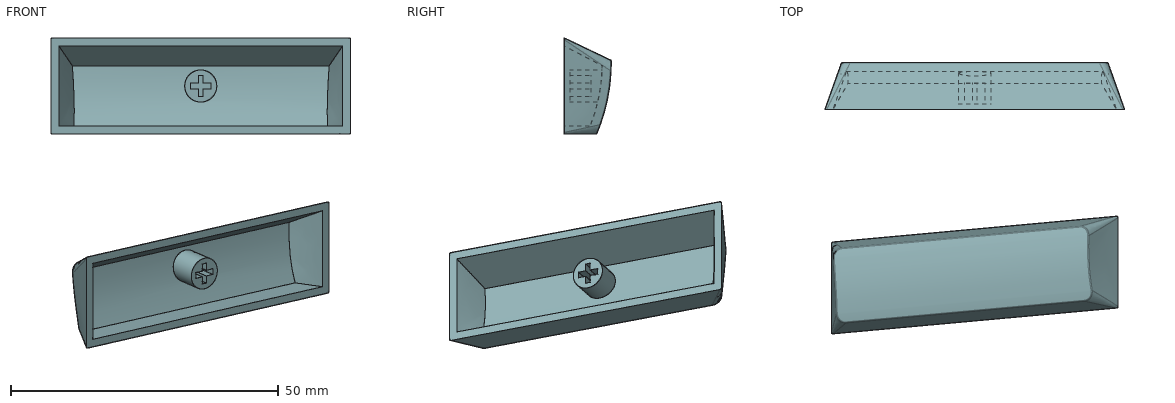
import cadquery as cq
import math

LENGTH = 56.1
HEIGHT = 18.0
RIM_CORNER_RADIUS = 0.35

DEPTH_TOP = 8.8
DEPTH_BOTTOM = 6.05
TOP_DROP = 4.2
END_TAPER = 3.0
BACK_BULGE = 0.75
BACK_EDGE_RADIUS = 0.2
BACK_CORNER_RADIUS = 1.8

WALL = 1.5
BACK_WALL = 1.7
CAVITY_END_TAPER = 2.5
CAVITY_TOP_DROP = 3.7

STEM_DIAMETER = 6.0
STEM_Z = HEIGHT / 2
STEM_FRONT = 1.05
CROSS_SPAN = 3.9
CROSS_UPRIGHT_WIDTH = 0.9
CROSS_BAR_WIDTH = 1.1
CROSS_DEPTH = 3.9

OVERRUN = 1.25


def rounded_rectangle(half_length, bottom, top, depth_bottom, depth_top, radius):
    """Wire of a rectangle spanning X and leaning in Y; radius 0 leaves sharp corners."""
    rise = top - bottom
    lean = depth_top - depth_bottom
    slant = math.hypot(rise, lean)
    plane = cq.Plane(
        origin=(0, (depth_bottom + depth_top) / 2, (bottom + top) / 2),
        xDir=(1, 0, 0),
        normal=(0, -rise, lean),
    )
    outline = cq.Workplane("XY").rect(2 * half_length, slant).extrude(0.55)
    if radius > 0:
        outline = outline.edges("|Z").fillet(radius)
    return outline.faces("<Z").val().outerWire().moved(plane.location)


def tapered_body(inset, end_taper, top_drop, depth_bottom, depth_top, front_radius, back_radius):
    """Ruled loft from the rim plane backwards, extended straight past the back."""
    half_length = LENGTH / 2 - inset
    top = HEIGHT - inset
    front = rounded_rectangle(half_length, inset, top, 0, 0, front_radius)
    back = rounded_rectangle(
        half_length - OVERRUN * end_taper,
        inset,
        top - OVERRUN * top_drop,
        OVERRUN * depth_bottom,
        OVERRUN * depth_top,
        front_radius + OVERRUN * (back_radius - front_radius),
    )
    return cq.Workplane(cq.Solid.makeLoft([front, back], True))


def back_envelope(offset):
    """Cylinder along X whose surface is the curved back, moved forward by offset."""
    rise = HEIGHT - TOP_DROP
    lean = DEPTH_TOP - DEPTH_BOTTOM
    chord = math.hypot(rise, lean)
    radius = (chord**2 / 4 + BACK_BULGE**2) / (2 * BACK_BULGE)
    to_centre = radius - BACK_BULGE
    centre_y = (DEPTH_TOP + DEPTH_BOTTOM) / 2 - to_centre * rise / chord
    centre_z = rise / 2 + to_centre * lean / chord
    return (
        cq.Workplane("YZ")
        .center(centre_y, centre_z)
        .circle(radius - offset)
        .extrude(LENGTH / 2, both=True)
    )


def stem():
    """Round post standing forward from the back wall."""
    return (
        cq.Workplane("XZ", origin=(0, STEM_FRONT, STEM_Z))
        .circle(STEM_DIAMETER / 2)
        .extrude(-DEPTH_TOP)
    )


def cross_socket():
    """Blind cross cut into the front of the stem."""
    face = cq.Workplane("XZ", origin=(0, STEM_FRONT, STEM_Z))
    upright = face.rect(CROSS_UPRIGHT_WIDTH, CROSS_SPAN).extrude(-CROSS_DEPTH)
    bar = face.rect(CROSS_SPAN, CROSS_BAR_WIDTH).extrude(-CROSS_DEPTH)
    return upright.union(bar)


outer = tapered_body(
    0, END_TAPER, TOP_DROP, DEPTH_BOTTOM, DEPTH_TOP, RIM_CORNER_RADIUS, BACK_CORNER_RADIUS
).intersect(back_envelope(0))
outer = outer.faces("%CYLINDER").edges().fillet(BACK_EDGE_RADIUS)

cavity = tapered_body(
    WALL,
    CAVITY_END_TAPER,
    CAVITY_TOP_DROP,
    DEPTH_BOTTOM - BACK_WALL,
    DEPTH_TOP - BACK_WALL,
    0,
    0,
).intersect(back_envelope(BACK_WALL))

post = stem().intersect(back_envelope(BACK_WALL / 2))

result = outer.cut(cavity).union(post).cut(cross_socket())